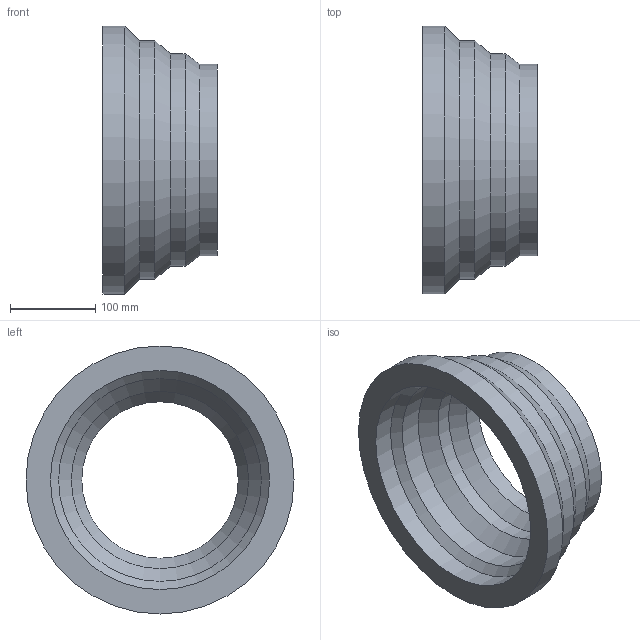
import cadquery as cq

length = 134.0

outer_diameters = [315.0, 280.0, 250.0, 225.0]
bore_diameters = [257.5, 238.5, 208.5, 184.0]

outer_cones = [(25.0, 43.0), (61.0, 79.0), (96.5, 114.0)]
first_bore_cone = (24.5, 34.5)
bore_cones = [first_bore_cone] + outer_cones[1:]


def stepped_profile(diameters, cones):
    """Points (X, radius) along a line of cylinders joined by cones."""
    points = [(0.0, diameters[0] / 2)]
    for i, (cone_start, cone_end) in enumerate(cones):
        points.append((cone_start, diameters[i] / 2))
        points.append((cone_end, diameters[i + 1] / 2))
    points.append((length, diameters[-1] / 2))
    return points


def revolved_ring():
    outer_line = stepped_profile(outer_diameters, outer_cones)
    bore_line = stepped_profile(bore_diameters, bore_cones)
    section = cq.Workplane("XY").polyline(outer_line + bore_line[::-1]).close()
    return section.revolve(360, (0, 0, 0), (1, 0, 0))


result = revolved_ring()